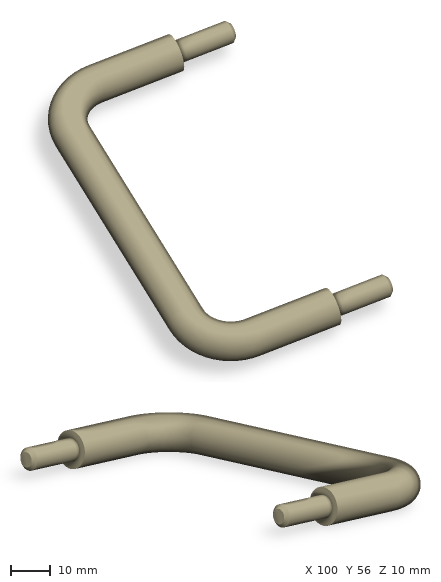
import cadquery as cq

overall_width = 100.0
bar_diameter = 10.0
handle_height = 40.0
bend_radius = 12.5
stud_diameter = 6.0
stud_length = 16.0
stud_chamfer = 1.0

leg_x = (overall_width - bar_diameter) / 2
grip_y = bar_diameter / 2 - handle_height
bend_start_y = grip_y + bend_radius
grip_end_x = leg_x - bend_radius


def make_bar():
    """Round bar swept along a U: leg, bend, grip, bend, leg."""
    path = (
        cq.Workplane("XY")
        .moveTo(-leg_x, 0)
        .lineTo(-leg_x, bend_start_y)
        .radiusArc((-grip_end_x, grip_y), -bend_radius)
        .lineTo(grip_end_x, grip_y)
        .radiusArc((leg_x, bend_start_y), -bend_radius)
        .lineTo(leg_x, 0)
    )
    return cq.Workplane("XZ").center(-leg_x, 0).circle(bar_diameter / 2).sweep(path)


def make_stud(x):
    """Mounting stud pointing to +Y from the leg shoulder, with a chamfered tip."""
    return (
        cq.Workplane("XZ")
        .center(x, 0)
        .circle(stud_diameter / 2)
        .extrude(-stud_length)
        .faces(">Y")
        .chamfer(stud_chamfer)
    )


result = make_bar()
for stud_x in (-leg_x, leg_x):
    result = result.union(make_stud(stud_x))